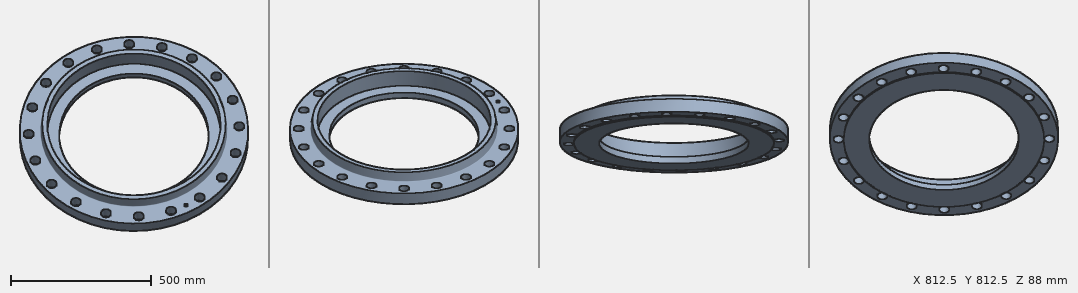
import cadquery as cq
import math

flange_diameter = 812.5
raised_face_diameter = 713.0
raised_face_height = 5.0
flange_top = 52.0

total_height = 88.0
hub_base_diameter = 664.0
hub_top_diameter = 652.0
hub_root_fillet = 2.5

bore_diameter = 531.5
recess_diameter = 616.0
recess_floor = 24.0

bolt_circle_diameter = 749.0
bolt_hole_diameter = 36.0
bolt_count = 20
small_hole_diameter = 6.0
small_hole_depth = 24.0
small_counterbore_diameter = 13.0
small_counterbore_depth = 2.0
bolt_pitch_angle = 360 / bolt_count


def ring_body():
    """Revolve the stepped half section around the Z axis and fillet the hub root."""
    half_section = [
        (bore_diameter / 2, 0),
        (raised_face_diameter / 2, 0),
        (raised_face_diameter / 2, raised_face_height),
        (flange_diameter / 2, raised_face_height),
        (flange_diameter / 2, flange_top),
        (hub_base_diameter / 2, flange_top),
        (hub_top_diameter / 2, total_height),
        (recess_diameter / 2, total_height),
        (recess_diameter / 2, recess_floor),
        (bore_diameter / 2, recess_floor),
    ]
    ring = cq.Workplane("XZ").polyline(half_section).close().revolve(360, (0, 0), (0, 1))
    flange_top_face = ring.faces(">Z[-2]")
    hub_root = flange_top_face.edges(cq.selectors.RadiusNthSelector(0))
    return hub_root.fillet(hub_root_fillet)


def bolt_holes():
    """Through-hole cutters evenly spaced on the bolt circle, the first on +X."""
    return (
        cq.Workplane("XY")
        .polarArray(bolt_circle_diameter / 2, 0, 360, bolt_count)
        .circle(bolt_hole_diameter / 2)
        .extrude(total_height)
    )


def drill_small_hole(ring):
    """Cut the blind counterbored hole, half a bolt pitch from the +X bolt hole."""
    angle = math.radians(bolt_pitch_angle / 2)
    radius = bolt_circle_diameter / 2
    return (
        ring.copyWorkplane(cq.Workplane("XY", origin=(0, 0, flange_top)))
        .moveTo(radius * math.cos(angle), radius * math.sin(angle))
        .cboreHole(small_hole_diameter, small_counterbore_diameter, small_counterbore_depth, small_hole_depth)
    )


drilled_ring = ring_body().cut(bolt_holes())
result = drill_small_hole(drilled_ring)